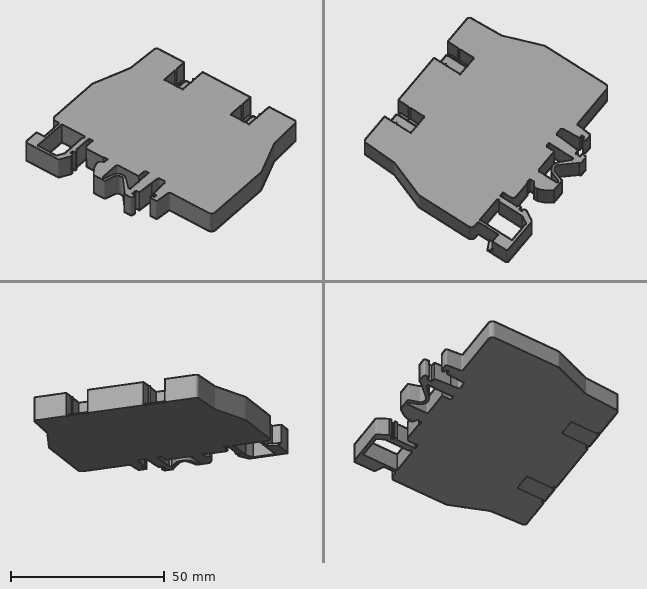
import cadquery as cq
import math

length = 69.5
height = 62.0
thickness = 8.0
overlap = 1.4

shoulder_y = 35.6
neck_inset = 5.15
neck_y = 49.15
top_inset = 5.8
base_y = 9.65
left_base_y = 14.05
left_step_x = 16.9
top_corner_radius = 1.0
shoulder_radius = 1.4
base_corner_radius = 1.5
step_radius = 1.4
inner_corner_radius = 0.4

slot_outer_x = 17.3
slot_width = 7.6
slot_depth = 10.55
outer_ledge = 0.7
inner_ledge = 1.0
ledge_setback = 0.8
ledge_height = 0.7
slot_floor_height = 0.35
pip_reach = 0.5
pip_half_width = 0.4
pip_y = height - 4.5

foot_wall_x = 3.2
window_left_x = 4.2
window_right_x = 13.4
window_floor_y = 1.1
window_slope_x = 11.95
window_slope_y = 3.7
window_relief_radius = 0.5
foot_right_x = 15.35
foot_tip_x = 15.9
foot_notch_x = 14.9
foot_slope_end_x = 13.75
foot_slope_y = 3.75
foot_barb_y = 6.9
foot_top_y = 6.0
notch_floor_y = 5.0
barb_rise = 0.4
tip_chamfer = 0.35
foot_corner_radius = 0.6
lip_thickness = 0.8
lip_outer_y = 8.0
lip_inner_y = 9.6
gusset_size = 1.0
foot_gap_radius = 0.6

latch_left_x = 24.6
latch_neck_x = 26.1
latch_right_x = 30.2
latch_sole_y = 1.1
latch_relief_height = 0.3
latch_neck_y = 8.3
latch_hook_top_y = 7.2
latch_hook_y = 5.9
latch_bow_point = (25.65, 3.4)
latch_bow_end_x = 27.4
spring_center = (34.75, 4.2)
spring_inner_radius = 1.8
spring_outer_radius = 2.8
spring_pocket_y = 2.15
spring_pocket_width = 0.9
spring_toe_x = 31.9
spring_root = (39.9, 3.2)
pocket_arc_rise = 0.2

post_left_x = 40.7
post_top_y = 12.9
post_gap_x = 39.2
heel_left_x = 40.5
heel_y = 0.55
heel_right_x = 43.8
heel_top_x = 43.9
heel_top_y = 1.8
post_notch_x = 42.7
post_notch_top_y = 3.6
post_notch_right_x = 44.1
post_right_x = 44.75
post_base_right_x = 44.55
post_gap_radius = 0.6

leg_sole_y = 3.75
leg_gap_x = 47.75
leg_left_x = 47.9
leg_notch_left_x = 48.1
leg_notch_right_x = 49.3
leg_lip_x = 48.2
leg_lip_drop = 0.3
leg_sole_left_x = 48.3
leg_sole_right_x = 51.2
leg_right_x = 51.8
leg_gap_radius = 0.7

slope_end_radius = 0.7
toe_radius = 0.35
heel_radius = 0.4
heel_right_radius = 0.6
leg_sole_radius = 0.4


def plate(points):
    """Full-thickness plate with a straight-sided outline."""
    return cq.Workplane("XY").polyline(points).close().extrude(thickness)


def box(x0, x1, y0, y1, z0, z1):
    """Block between two opposite corners."""
    return cq.Workplane("XY").box(x1 - x0, y1 - y0, z1 - z0, centered=False).translate((x0, y0, z0))


def round_corner(solid, x, y, radius):
    """Fillet the one vertical edge that passes through (x, y)."""
    nearest = cq.selectors.NearestToPointSelector((x, y, thickness / 2))
    return solid.edges("|Z").edges(nearest).fillet(radius)


def tangent_point(point, center, radius, side):
    """Touch point on a circle of the tangent from a point; side picks one of the two tangents."""
    away = math.atan2(point[1] - center[1], point[0] - center[0])
    distance = math.hypot(point[0] - center[0], point[1] - center[1])
    angle = away + side * math.acos(radius / distance)
    return (center[0] + radius * math.cos(angle), center[1] + radius * math.sin(angle))


def make_body():
    """Main plate with tapered shoulders and a stepped lower edge."""
    outline = [
        (0, left_base_y),
        (0, shoulder_y),
        (neck_inset, neck_y),
        (top_inset, height),
        (length - top_inset, height),
        (length - neck_inset, neck_y),
        (length, shoulder_y),
        (length, base_y),
        (left_step_x, base_y),
        (left_step_x, left_base_y),
    ]
    body = plate(outline)
    for x in (top_inset, length - top_inset):
        body = round_corner(body, x, height, top_corner_radius)
    for x in (0, length):
        body = round_corner(body, x, shoulder_y, shoulder_radius)
    body = round_corner(body, 0, left_base_y, base_corner_radius)
    body = round_corner(body, length, base_y, base_corner_radius)
    return round_corner(body, left_step_x, base_y, step_radius)


def cut_top_slot(body):
    """Left slot: stepped floor, open at the top edge, with a pip on each wall."""
    slot_inner_x = slot_outer_x + slot_width
    floor_x0 = slot_outer_x + outer_ledge
    floor_x1 = slot_inner_x - inner_ledge
    bottom_y = height - slot_depth
    ledge_y = height - ledge_setback
    slotted = body.cut(box(slot_outer_x, slot_inner_x, bottom_y, height, ledge_height, thickness))
    slotted = slotted.cut(box(floor_x0, floor_x1, bottom_y, height, slot_floor_height, thickness))
    for x0, x1 in ((slot_outer_x, floor_x0), (floor_x1, slot_inner_x)):
        slotted = slotted.cut(box(x0, x1, ledge_y, height, 0, thickness))
    for wall_x, direction in ((slot_outer_x, 1), (slot_inner_x, -1)):
        pip = [
            (wall_x, pip_y - pip_half_width),
            (wall_x + direction * pip_reach, pip_y),
            (wall_x, pip_y + pip_half_width),
        ]
        slotted = slotted.union(plate(pip))
    return slotted


def cut_both_slots(body):
    """The two slots mirror each other about the middle of the length."""
    mid_x = length / 2
    left_half = body.intersect(box(0, mid_x, 0, height, 0, thickness))
    right_half = body.intersect(box(mid_x, length, 0, height, 0, thickness))
    mirrored = right_half.mirror("YZ", (mid_x, 0, 0))
    right_half = cut_top_slot(mirrored).mirror("YZ", (mid_x, 0, 0))
    return cut_top_slot(left_half).union(right_half)


def make_window_foot():
    """Hollow foot under the left end, with a notched tip and a thin lip."""
    outline = [
        (0, 0),
        (0, foot_top_y),
        (foot_wall_x, foot_top_y),
        (foot_wall_x, left_base_y + overlap),
        (foot_right_x, left_base_y + overlap),
        (foot_right_x, foot_barb_y + barb_rise),
        (foot_tip_x, foot_barb_y),
        (foot_tip_x, foot_top_y),
        (foot_notch_x, foot_top_y),
        (foot_notch_x, notch_floor_y),
        (foot_tip_x - tip_chamfer, notch_floor_y),
        (foot_tip_x, notch_floor_y - tip_chamfer),
        (foot_tip_x, foot_slope_y),
        (foot_slope_end_x, 0),
    ]
    foot = round_corner(plate(outline), 0, 0, foot_corner_radius)
    lip = [
        (0, foot_top_y),
        (0, lip_outer_y),
        (foot_wall_x, lip_inner_y),
        (foot_wall_x, foot_top_y),
    ]
    foot = foot.union(cq.Workplane("XY").polyline(lip).close().extrude(lip_thickness))
    gusset = [
        (foot_top_y, lip_thickness),
        (foot_top_y + gusset_size, lip_thickness),
        (foot_top_y, lip_thickness + gusset_size),
    ]
    return foot.union(cq.Workplane("YZ").polyline(gusset).close().extrude(gusset_size))


def make_window():
    """Opening through the left foot, with a sloped corner and a round corner relief."""
    opening = plate([
        (window_left_x, window_floor_y),
        (window_left_x, left_base_y),
        (window_right_x, left_base_y),
        (window_right_x, window_slope_y),
        (window_slope_x, window_floor_y),
    ])
    relief = cq.Workplane("XY").circle(window_relief_radius).extrude(thickness)
    return opening.union(relief.translate((window_right_x, left_base_y - window_relief_radius, 0)))


def make_foot_gap():
    """Round-topped gap between the window foot and the body."""
    gap = box(foot_right_x, left_step_x, base_y, left_base_y, 0, thickness)
    for x in (foot_right_x, left_step_x):
        gap = round_corner(gap, x, left_base_y, foot_gap_radius)
    return gap


def make_latch():
    """Bowed latch foot that hooks the rail edge."""
    return (
        cq.Workplane("XY")
        .moveTo(latch_neck_x, base_y + overlap)
        .lineTo(latch_neck_x, latch_neck_y)
        .lineTo(latch_left_x, latch_hook_top_y)
        .lineTo(latch_left_x, latch_hook_y)
        .threePointArc(latch_bow_point, (latch_bow_end_x, latch_sole_y))
        .lineTo(latch_right_x, latch_sole_y)
        .lineTo(latch_right_x, base_y + overlap)
        .close()
        .extrude(thickness)
    )


def make_spring():
    """Arched strip of nearly constant thickness joining the latch to the post."""
    pocket_left = (latch_right_x, spring_pocket_y)
    pocket_right = (latch_right_x + spring_pocket_width, spring_pocket_y + pocket_arc_rise)
    pocket_bottom = (latch_right_x + spring_pocket_width / 2, spring_pocket_y - pocket_arc_rise)
    toe = (spring_toe_x, latch_sole_y)
    heel = (heel_left_x, heel_y)
    crest_x, crest_y = spring_center
    outer_start = tangent_point(pocket_right, spring_center, spring_outer_radius, -1)
    outer_end = tangent_point(spring_root, spring_center, spring_outer_radius, 1)
    inner_start = tangent_point(heel, spring_center, spring_inner_radius, 1)
    inner_end = tangent_point(toe, spring_center, spring_inner_radius, -1)
    return (
        cq.Workplane("XY")
        .moveTo(latch_right_x, latch_sole_y)
        .lineTo(*pocket_left)
        .threePointArc(pocket_bottom, pocket_right)
        .lineTo(*outer_start)
        .threePointArc((crest_x, crest_y + spring_outer_radius), outer_end)
        .lineTo(*spring_root)
        .lineTo(post_left_x, spring_root[1])
        .lineTo(post_left_x, heel_y)
        .lineTo(*heel)
        .lineTo(*inner_start)
        .threePointArc((crest_x, crest_y + spring_inner_radius), inner_end)
        .lineTo(*toe)
        .close()
        .extrude(thickness)
    )


def make_post():
    """Tapered post with a notch above its heel."""
    return plate([
        (post_left_x, post_top_y + overlap),
        (post_left_x, heel_y),
        (heel_left_x, heel_y),
        (heel_left_x, 0),
        (heel_right_x, 0),
        (heel_top_x, heel_top_y),
        (post_notch_x, heel_top_y),
        (post_notch_x, post_notch_top_y),
        (post_notch_right_x, post_notch_top_y),
        (post_right_x, post_top_y),
        (post_right_x, post_top_y + overlap),
    ])


def make_leg():
    """Short leg with a hooked notch on the side facing the post."""
    return plate([
        (leg_left_x, base_y + overlap),
        (leg_left_x, base_y),
        (leg_notch_left_x, foot_top_y),
        (leg_notch_right_x, foot_top_y),
        (leg_notch_right_x, notch_floor_y),
        (leg_lip_x, notch_floor_y - leg_lip_drop),
        (leg_sole_left_x, leg_sole_y),
        (leg_sole_right_x, leg_sole_y),
        (leg_right_x, base_y),
        (leg_right_x, base_y + overlap),
    ])


def make_post_gaps():
    """Gaps that run up into the body on both sides of the post."""
    left_gap = box(post_gap_x, post_left_x, base_y, post_top_y, 0, thickness)
    left_gap = round_corner(left_gap, post_gap_x, post_top_y, post_gap_radius)
    right_gap = plate([
        (post_base_right_x, base_y),
        (post_right_x, post_top_y),
        (leg_gap_x, post_top_y),
        (leg_left_x, base_y),
    ])
    for x in (post_right_x, leg_gap_x):
        right_gap = round_corner(right_gap, x, post_top_y, leg_gap_radius)
    return left_gap.union(right_gap)


def make_latch_relief():
    """Shallow relief in the lower edge beside the latch neck."""
    return box(latch_left_x, latch_neck_x, base_y, base_y + latch_relief_height, 0, thickness)


result = cut_both_slots(make_body())
for foot in (make_window_foot(), make_latch(), make_spring(), make_post(), make_leg()):
    result = result.union(foot)
for opening in (make_window(), make_foot_gap(), make_post_gaps(), make_latch_relief()):
    result = result.cut(opening)

for x, y, radius in (
    (foot_wall_x, left_base_y, inner_corner_radius),
    (latch_right_x, base_y, inner_corner_radius),
    (leg_right_x, base_y, inner_corner_radius),
    (foot_slope_end_x, 0, slope_end_radius),
    (spring_toe_x, latch_sole_y, toe_radius),
    (heel_left_x, 0, heel_radius),
    (heel_right_x, 0, heel_right_radius),
    (leg_sole_left_x, leg_sole_y, leg_sole_radius),
    (leg_sole_right_x, leg_sole_y, leg_sole_radius),
):
    result = round_corner(result, x, y, radius)